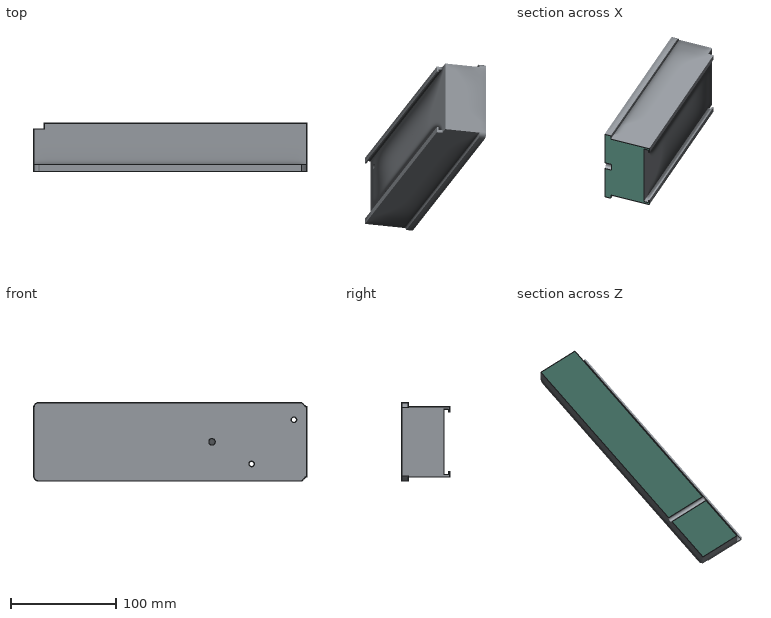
import cadquery as cq

length = 260.0
depth = 46.0
height = 75.0

flange_thickness = 6.5
flange_overhang = 4.0
flange_corner = 5.0

rail_depth = 5.5
rail_thickness = 2.5
lip_thickness = 1.5
lip_height = 5.2
rail_setback = 10.0

through_diameter = 5.0
through_positions = [(117.8, 21.0), (77.5, -21.0)]
blind_diameter = 6.2
blind_depth = flange_thickness
blind_position = (39.8, 0)

body_height = height - 2 * flange_overhang
floor_y = depth - rail_depth
slot_height = body_height - 2 * rail_thickness
mouth_height = body_height - 2 * lip_height


def block(x_start, x_end, y_start, y_end, z_size):
    """Box between the given X and Y limits, centred on Z = 0."""
    size = (x_end - x_start, y_end - y_start, z_size)
    corner = cq.Vector(x_start, y_start, -z_size / 2)
    return cq.Workplane(cq.Solid.makeBox(*size, corner))


def front_holes(positions, diameter, hole_depth):
    """Cylinders running from the front face toward +Y."""
    sketch = cq.Workplane("XZ", origin=(length / 2, 0, 0)).pushPoints(positions)
    return sketch.circle(diameter / 2).extrude(-hole_depth)


def make_flange():
    plate = block(0, length, 0, flange_thickness, height)
    plate = plate.edges("|Y and <X").fillet(flange_corner)
    return plate.edges("|Y and >X").chamfer(flange_corner)


def make_body():
    body = block(0, length, flange_thickness, depth, body_height)
    end_step = block(0, rail_setback, floor_y, depth, body_height)
    slot = block(0, length, floor_y, depth - lip_thickness, slot_height)
    mouth = block(0, length, floor_y, depth, mouth_height)
    return body.cut(end_step).cut(slot).cut(mouth)


part = make_body().union(make_flange())
part = part.cut(front_holes(through_positions, through_diameter, depth))
part = part.cut(front_holes([blind_position], blind_diameter, blind_depth))
result = part